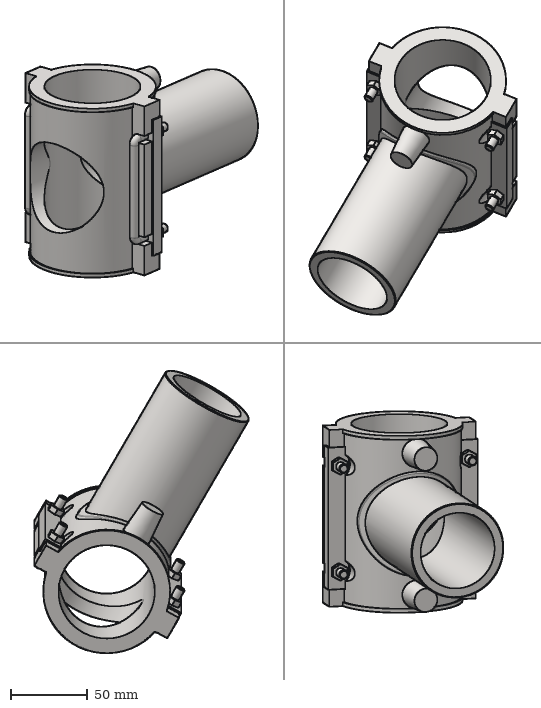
import cadquery as cq

sleeve_length = 118.0
bore_diameter = 63.0
rim_radius = 41.5
rim_height = 2.6
sleeve_radius = 40.6

flange_half_width = 50.0
flange_thickness = 7.9

plate_thickness = 1.0
plate_length = 94.8
plate_inner_x = 37.0

total_depth = 175.8
tube_diameter = 63.0
tube_bore = 50.5
tube_chamfer = 0.5
front_hole_diameter = 61.7
pad_radius = 34.8
pad_crown_radius = 42.2
pad_edge_fillet = 0.9

stud_z = 47.1
stud_tip_y = 61.4
stud_tip_diameter = 15.6
stud_root_y = 35.2
stud_root_diameter = 19.9

bolt_x = 44.0
bolt_z = 35.3
bolt_diameter = 6.0
bolt_end_y = 21.0
bolt_chamfer = 0.5
bolt_bend_radius = 3.2
nut_height = 4.0
nut_corner_diameter = 11.0
nut_clearance_diameter = 16.2

tube_end_y = total_depth - rim_radius
plate_top_y = flange_thickness + plate_thickness
plate_outer_x = flange_half_width + plate_thickness
bolt_radius = bolt_diameter / 2
SIDES = (-1, 1)


def cylinder_z(radius, length):
    """Cylinder on the Z axis, centred on the origin."""
    return cq.Workplane("XY").circle(radius).extrude(length / 2, both=True)


def cylinder_y(x, z, diameter, start_y, end_y):
    """Cylinder parallel to Y between two Y positions."""
    plane = cq.Plane(origin=(x, start_y, z), xDir=(1, 0, 0), normal=(0, 1, 0))
    return cq.Workplane(plane).circle(diameter / 2).extrude(end_y - start_y)


def box_between(x_range, y_range, z_range):
    """Box spanning the given ranges."""
    sizes = [high - low for low, high in (x_range, y_range, z_range)]
    corner = (x_range[0], y_range[0], z_range[0])
    return cq.Workplane("XY").box(*sizes, centered=False).translate(corner)


def make_sleeve():
    """Outer sleeve with a raised rim at each end and both flanges, still solid inside."""
    sleeve = cylinder_z(sleeve_radius, sleeve_length)
    for side in SIDES:
        rim = cylinder_z(rim_radius, rim_height)
        sleeve = sleeve.union(rim.translate((0, 0, side * (sleeve_length - rim_height) / 2)))
    flanges = cq.Workplane("XY").box(2 * flange_half_width, 2 * flange_thickness, sleeve_length)
    return sleeve.union(flanges)


def make_pad():
    """Saddle pad that follows the sleeve around the tube root, with a rounded outer edge."""
    disc = cylinder_y(0, 0, 2 * pad_radius, 0, tube_end_y)
    pad = disc.intersect(cylinder_z(pad_crown_radius, sleeve_length))
    return pad.faces(">Y").edges().fillet(pad_edge_fillet)


def make_tube():
    """Branch tube from the sleeve axis to its chamfered free end, still solid inside."""
    return cylinder_y(0, 0, tube_diameter, 0, tube_end_y).faces(">Y").chamfer(tube_chamfer)


def make_stud(z):
    """Tapered stud pointing along +Y."""
    return (
        cq.Workplane("XY")
        .moveTo(0, stud_root_y)
        .lineTo(stud_root_diameter / 2, stud_root_y)
        .lineTo(stud_tip_diameter / 2, stud_tip_y)
        .lineTo(0, stud_tip_y)
        .close()
        .revolve(360, (0, 0), (0, 1))
        .translate((0, 0, z))
    )


def make_plate():
    """Angle plate on the +X flange: one leg on its rear face, one on its side."""
    half_length = plate_length / 2
    z_range = (-half_length, half_length)
    rear_leg = box_between((plate_inner_x, plate_outer_x), (flange_thickness, plate_top_y), z_range)
    side_leg = box_between((flange_half_width, plate_outer_x), (0, plate_top_y), z_range)
    return rear_leg.union(side_leg)


def make_bolt_slot(z):
    """Slot in the +X front flange, open to its side, for one bolt leg."""
    z_range = (z - bolt_radius, z + bolt_radius)
    y_range = (-flange_thickness, 0)
    slot = box_between((bolt_x, flange_half_width), y_range, z_range)
    return slot.union(cylinder_y(bolt_x, z, bolt_diameter, *y_range))


def make_nut(z):
    """Hexagonal nut sitting on the rear leg of the +X plate, with corners facing up and down."""
    plane = cq.Plane(origin=(bolt_x, plate_top_y, z), xDir=(0, 0, 1), normal=(0, 1, 0))
    return cq.Workplane(plane).polygon(6, nut_corner_diameter).extrude(nut_height)


def make_u_bolt():
    """U-bolt through the +X flange: two legs joined by a bar in front of it."""
    bend_start_y = -flange_thickness
    bar_y = bend_start_y - bolt_bend_radius
    bar_end_z = bolt_z - bolt_bend_radius
    path = (
        cq.Workplane("YZ", origin=(bolt_x, 0, 0))
        .moveTo(bolt_end_y, -bolt_z)
        .lineTo(bend_start_y, -bolt_z)
        .tangentArcPoint((bar_y, -bar_end_z), relative=False)
        .lineTo(bar_y, bar_end_z)
        .tangentArcPoint((bend_start_y, bolt_z), relative=False)
        .lineTo(bolt_end_y, bolt_z)
    )
    start = cq.Plane(origin=(bolt_x, bolt_end_y, -bolt_z), xDir=(1, 0, 0), normal=(0, -1, 0))
    bolt = cq.Workplane(start).circle(bolt_radius).sweep(path)
    return bolt.faces(">Y").chamfer(bolt_chamfer)


def both_sides(half):
    """The given +X shape together with its mirror image."""
    return half.union(half.mirror("YZ"))


body = make_sleeve()
for side in SIDES:
    z = side * bolt_z
    nut_clearance = cylinder_y(bolt_x, z, nut_clearance_diameter, flange_thickness, sleeve_radius)
    body = body.cut(both_sides(nut_clearance))
    body = body.cut(both_sides(make_bolt_slot(z)))
    body = body.union(both_sides(make_nut(z)))
    body = body.union(make_stud(side * stud_z))
body = body.union(make_pad()).union(make_tube())
body = body.union(both_sides(make_plate())).union(both_sides(make_u_bolt()))

body = body.cut(cylinder_z(bore_diameter / 2, sleeve_length))
body = body.cut(cylinder_y(0, 0, tube_bore, 0, tube_end_y))
result = body.cut(cylinder_y(0, 0, front_hole_diameter, -rim_radius, 0))